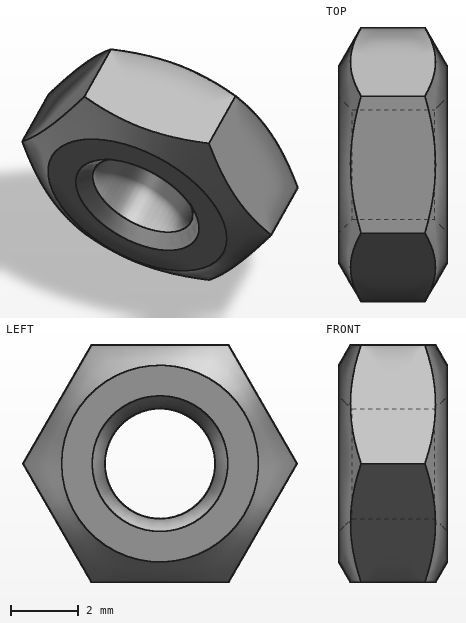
import cadquery as cq
import math

across_flats = 7.0
thickness = 3.2
bore_diameter = 3.24
thread_diameter = 4.0
face_diameter = 5.8
corner_chamfer_angle = 30.0
countersink_angle = 45.0
corner_clearance = 1.0

hexagon_sides = 6
full_turn = 360
across_corners = across_flats / math.cos(math.pi / hexagon_sides)
half_thickness = thickness / 2


def revolve_about_x(profile):
    """Revolve a closed (axial, radial) profile about the X axis."""
    return cq.Workplane("XY").polyline(profile).close().revolve(full_turn, (0, 0, 0), (1, 0, 0))


def make_hexagon():
    """Hexagonal prism with corners on the +Y and -Y sides."""
    return (
        cq.Workplane("YZ")
        .polygon(hexagon_sides, across_corners)
        .extrude(half_thickness, both=True)
    )


def make_chamfer_envelope():
    """Round body whose conical ends trim the hexagon corners."""
    corner_radius = across_corners / 2
    face_radius = face_diameter / 2
    envelope_radius = corner_radius + corner_clearance
    slope = math.tan(math.radians(corner_chamfer_angle))
    cone_end = half_thickness - (envelope_radius - face_radius) * slope
    return revolve_about_x([
        (-half_thickness, 0),
        (-half_thickness, face_radius),
        (-cone_end, envelope_radius),
        (cone_end, envelope_radius),
        (half_thickness, face_radius),
        (half_thickness, 0),
    ])


def make_bore():
    """Through bore with a countersink at each end."""
    bore_radius = bore_diameter / 2
    mouth_radius = thread_diameter / 2
    depth = (mouth_radius - bore_radius) * math.tan(math.radians(countersink_angle))
    return revolve_about_x([
        (-half_thickness, 0),
        (-half_thickness, mouth_radius),
        (-half_thickness + depth, bore_radius),
        (half_thickness - depth, bore_radius),
        (half_thickness, mouth_radius),
        (half_thickness, 0),
    ])


result = make_hexagon().intersect(make_chamfer_envelope()).cut(make_bore())